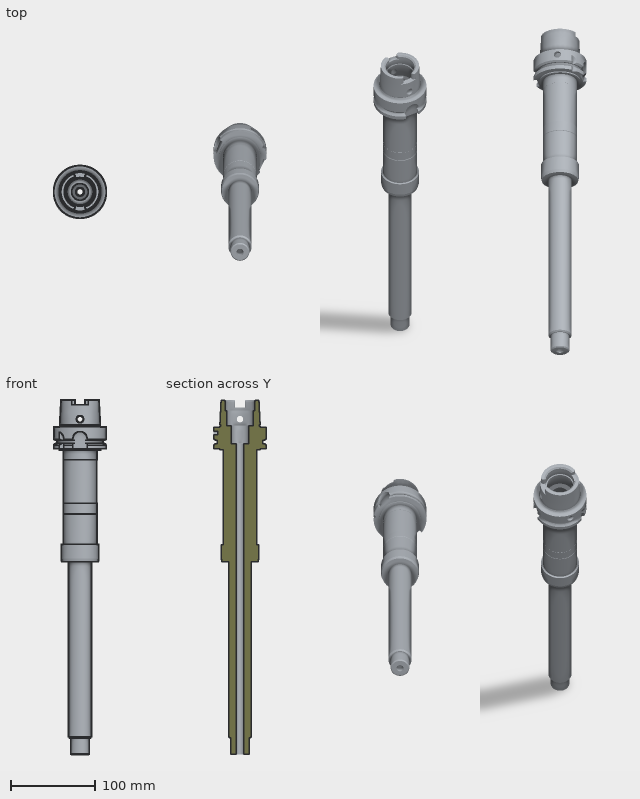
import cadquery as cq
import math

TOTAL_LENGTH = 421.5
SHANK_LENGTH = 32.0
FLANGE_HEIGHT = 26.0
FACE_Z = TOTAL_LENGTH - SHANK_LENGTH
FLANGE_BOTTOM_Z = FACE_Z - FLANGE_HEIGHT
COLLAR_TOP_Z = 250.0
COLLAR_BOTTOM_Z = 229.5
ROD_BOTTOM_Z = 20.0

SHANK_TOP_RADIUS = 22.8
SHANK_TAPER = 1 / 20
RELIEF_HEIGHT = 2.5
RELIEF_RADIUS = 23.0
RELIEF_FLARE_RADIUS = 25.0
RELIEF_FLARE_HEIGHT = 1.3

FLANGE_RADIUS = 63.0 / 2
GROOVE_TOP_Z = 375.0
GROOVE_BOTTOM_Z = 368.0
GROOVE_FLOOR_TOP_Z = 373.5
GROOVE_FLOOR_BOTTOM_Z = 370.0
GROOVE_FLOOR_RADIUS = 27.5
GROOVE_FLANK_RADIUS = 29.0
STEP_RADIUS = 24.5
STEP_HEIGHT = 1.3

COLUMN_RADIUS = 40.5 / 2
WAIST_RADIUS = 40.0 / 2
WAIST_TOP_Z = 350.5
WAIST_BOTTOM_Z = 299.0
JOINT_Z = 286.0
JOINT_WIDTH = 1.0
JOINT_DEPTH = 0.5
COLLAR_RADIUS = 45.0 / 2
COLLAR_CHAMFER_HEIGHT = 4.0
COLLAR_CHAMFER = 1.0
ROD_RADIUS = 28.0 / 2
ROD_CHAMFER = 1.5
TIP_RADIUS = 22.5 / 2
TIP_CHAMFER = 1.3

MOUTH_RADIUS = 34.0 / 2
MOUTH_DEPTH = 12.5
MOUTH_CHAMFER = 1.5
CAVITY_RADIUS = 31.0 / 2
CAVITY_DEPTH = 30.5
TUBE_BORE_RADIUS = 20.0 / 2
TUBE_BORE_DEPTH = 21.0
COOLANT_RADIUS = 8.5 / 2
COOLANT_CHAMFER = 1.0

DRIVE_SLOT_WIDTH = 11.5
FRONT_DRIVE_DEPTH = 5.5
BACK_DRIVE_DEPTH = 9.0
CROSS_HOLE_RADIUS = 7.5 / 2
CROSS_HOLE_CHAMFER = 0.5
CROSS_HOLE_Z = 398.7
KEYWAY_WIDTH = 17.0
KEYWAY_FLOOR = 26.5
KEYWAY_TOP_Z = 384.0
DATA_HOLE_RADIUS = 8.5 / 2
DATA_HOLE_DEPTH = 4.5
DATA_HOLE_Z = 382.5
DATA_HOLE_OFFSET = 4.0
NOTCH_CORNER = 19.5


def revolve(points):
    """Solid of revolution about Z from (radius, height) points."""
    return cq.Workplane("XZ").polyline(points).close().revolve(360, (0, 0, 0), (0, 1, 0))


def make_body():
    """Turned outer shape: tip, rod, collar, column, grooved flange and taper shank."""
    relief_z = FACE_Z + RELIEF_HEIGHT
    shank_base_radius = SHANK_TOP_RADIUS + SHANK_TAPER * (SHANK_LENGTH - RELIEF_HEIGHT)
    return revolve([
        (0, 0),
        (TIP_RADIUS - TIP_CHAMFER, 0),
        (TIP_RADIUS, TIP_CHAMFER),
        (TIP_RADIUS, ROD_BOTTOM_Z),
        (ROD_RADIUS - ROD_CHAMFER, ROD_BOTTOM_Z),
        (ROD_RADIUS, ROD_BOTTOM_Z + ROD_CHAMFER),
        (ROD_RADIUS, COLLAR_BOTTOM_Z),
        (COLLAR_RADIUS - COLLAR_CHAMFER, COLLAR_BOTTOM_Z),
        (COLLAR_RADIUS, COLLAR_BOTTOM_Z + COLLAR_CHAMFER_HEIGHT),
        (COLLAR_RADIUS, COLLAR_TOP_Z),
        (COLUMN_RADIUS, COLLAR_TOP_Z),
        (COLUMN_RADIUS, JOINT_Z - JOINT_WIDTH / 2),
        (COLUMN_RADIUS - JOINT_DEPTH, JOINT_Z),
        (COLUMN_RADIUS, JOINT_Z + JOINT_WIDTH / 2),
        (COLUMN_RADIUS, WAIST_BOTTOM_Z),
        (WAIST_RADIUS, WAIST_BOTTOM_Z),
        (WAIST_RADIUS, WAIST_TOP_Z),
        (COLUMN_RADIUS, WAIST_TOP_Z),
        (COLUMN_RADIUS, FLANGE_BOTTOM_Z - STEP_HEIGHT),
        (STEP_RADIUS, FLANGE_BOTTOM_Z - STEP_HEIGHT),
        (STEP_RADIUS, FLANGE_BOTTOM_Z),
        (FLANGE_RADIUS, FLANGE_BOTTOM_Z),
        (FLANGE_RADIUS, GROOVE_BOTTOM_Z),
        (GROOVE_FLANK_RADIUS, GROOVE_FLOOR_BOTTOM_Z),
        (GROOVE_FLOOR_RADIUS, GROOVE_FLOOR_BOTTOM_Z),
        (GROOVE_FLOOR_RADIUS, GROOVE_FLOOR_TOP_Z),
        (GROOVE_FLANK_RADIUS, GROOVE_FLOOR_TOP_Z),
        (FLANGE_RADIUS, GROOVE_TOP_Z),
        (FLANGE_RADIUS, FACE_Z),
        (RELIEF_FLARE_RADIUS, FACE_Z),
        (RELIEF_RADIUS, FACE_Z + RELIEF_FLARE_HEIGHT),
        (RELIEF_RADIUS, relief_z),
        (shank_base_radius, relief_z),
        (SHANK_TOP_RADIUS, TOTAL_LENGTH),
        (0, TOTAL_LENGTH),
    ])


def make_cavity():
    """Clamping cavity with its stepped bores down to the coolant hole through the full length."""
    floor_z = TOTAL_LENGTH - CAVITY_DEPTH
    mouth_z = TOTAL_LENGTH - MOUTH_DEPTH
    tube_z = floor_z - TUBE_BORE_DEPTH
    return revolve([
        (0, 0),
        (COOLANT_RADIUS, 0),
        (COOLANT_RADIUS, tube_z - COOLANT_CHAMFER),
        (COOLANT_RADIUS + COOLANT_CHAMFER, tube_z),
        (TUBE_BORE_RADIUS, tube_z),
        (TUBE_BORE_RADIUS, floor_z),
        (CAVITY_RADIUS, floor_z),
        (CAVITY_RADIUS, mouth_z),
        (MOUTH_RADIUS, mouth_z),
        (MOUTH_RADIUS, TOTAL_LENGTH - MOUTH_CHAMFER),
        (MOUTH_RADIUS + MOUTH_CHAMFER, TOTAL_LENGTH),
        (0, TOTAL_LENGTH),
    ])


def make_drive_slot(depth, side):
    """Slot through the shank wall at the top whose two wall ends are fully rounded.

    side is -1 for -Y, +1 for +Y.
    """
    end_radius = (SHANK_TOP_RADIUS - MOUTH_RADIUS) / 2
    end_distance = (SHANK_TOP_RADIUS + MOUTH_RADIUS) / 2
    end_x = DRIVE_SLOT_WIDTH / 2 + end_radius
    end_y = math.sqrt(end_distance**2 - end_x**2)
    reach = FLANGE_RADIUS / end_distance
    wedge = (
        cq.Workplane("XY")
        .polyline([(0, 0), (end_x * reach, end_y * reach), (-end_x * reach, end_y * reach)])
        .close()
        .extrude(depth)
    )
    wall_ends = (
        cq.Workplane("XY")
        .pushPoints([(-end_x, end_y), (end_x, end_y)])
        .circle(end_radius)
        .extrude(depth)
    )
    slot = wedge.cut(wall_ends).translate((0, 0, TOTAL_LENGTH - depth))
    return slot if side > 0 else slot.mirror("XZ")


def make_keyway(centre_x, floor_distance):
    """Round-topped keyway cut along Y from the -Y side, open at the bottom of the flange."""
    radius = KEYWAY_WIDTH / 2
    spring_z = KEYWAY_TOP_Z - radius
    return (
        cq.Workplane("XZ", origin=(centre_x, -floor_distance, 0))
        .moveTo(-radius, FLANGE_BOTTOM_Z)
        .lineTo(-radius, spring_z)
        .threePointArc((0, KEYWAY_TOP_Z), (radius, spring_z))
        .lineTo(radius, FLANGE_BOTTOM_Z)
        .close()
        .extrude(FLANGE_RADIUS)
    )


def make_cross_hole():
    """Hole through both shank walls along Y, widened by a small chamfer at each outer end."""
    wall_y = SHANK_TOP_RADIUS + SHANK_TAPER * (TOTAL_LENGTH - CROSS_HOLE_Z)
    half_hole = [
        (0, 0),
        (CROSS_HOLE_RADIUS, 0),
        (CROSS_HOLE_RADIUS, wall_y - 2 * CROSS_HOLE_CHAMFER),
        (CROSS_HOLE_RADIUS + CROSS_HOLE_CHAMFER, wall_y - CROSS_HOLE_CHAMFER),
        (CROSS_HOLE_RADIUS + CROSS_HOLE_CHAMFER, FLANGE_RADIUS),
        (0, FLANGE_RADIUS),
    ]
    back = revolve(half_hole).rotate((0, 0, 0), (1, 0, 0), -90).translate((0, 0, CROSS_HOLE_Z))
    return back.union(back.mirror("XZ"))


def make_data_hole():
    """Blind round hole in the flange rim on the -X side."""
    return (
        cq.Workplane("YZ")
        .center(-DATA_HOLE_OFFSET, DATA_HOLE_Z)
        .circle(DATA_HOLE_RADIUS)
        .extrude(FLANGE_RADIUS)
        .translate((DATA_HOLE_DEPTH - 2 * FLANGE_RADIUS, 0, 0))
    )


def make_notch():
    """Right-angled orientation notch at the -X -Y corner, cut like a keyway."""
    return make_keyway(-NOTCH_CORNER - KEYWAY_WIDTH / 2, NOTCH_CORNER)


result = make_body().cut(make_cavity())
result = result.cut(make_drive_slot(FRONT_DRIVE_DEPTH, -1))
result = result.cut(make_drive_slot(BACK_DRIVE_DEPTH, 1))
keyway = make_keyway(0, KEYWAY_FLOOR)
result = result.cut(keyway).cut(keyway.mirror("XZ"))
result = result.cut(make_cross_hole())
result = result.cut(make_data_hole())
result = result.cut(make_notch())